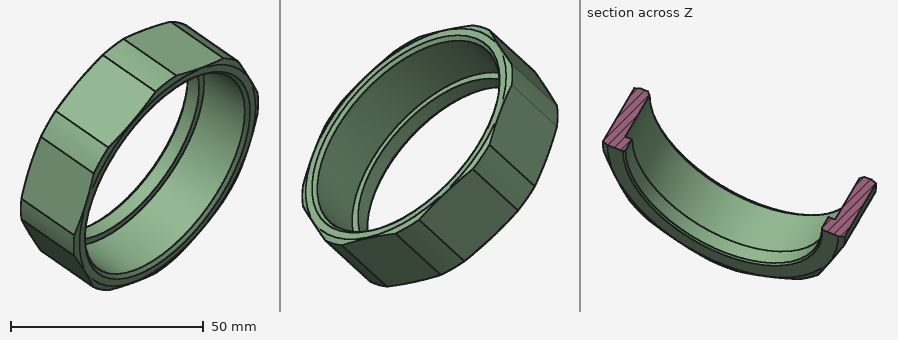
import cadquery as cq
import math

width = 20.0
corner_diameter = 69.7
across_flats = 66.95
flat_count = 8
face_diameter = 66.5
outer_chamfer_length = 0.55
lip_diameter = 56.5
lip_end = 4.5
bore_diameter = 60.35
lip_chamfer = 0.5
bore_chamfer = 1.0

left = -width / 2
right = width / 2


def revolve_profile(points):
    """Revolve an (x, radius) profile around the X axis."""
    return cq.Workplane("XY").polyline(points).close().revolve(360, (0, 0, 0), (1, 0, 0))


def octagon_prism():
    """Octagon with its corners on the Y and Z axes."""
    corner_to_corner = across_flats / math.cos(math.pi / flat_count)
    return cq.Workplane("YZ").polygon(flat_count, corner_to_corner).extrude(width / 2, both=True)


def chamfered_disc():
    """Round envelope that rounds the corners and chamfers both end faces."""
    face_radius = face_diameter / 2
    corner_radius = corner_diameter / 2
    return revolve_profile([
        (left, 0),
        (left, face_radius),
        (left + outer_chamfer_length, corner_radius),
        (right - outer_chamfer_length, corner_radius),
        (right, face_radius),
        (right, 0),
    ])


def stepped_bore():
    """Lip at -X, then the wider bore out to +X, chamfered at both mouths."""
    lip_radius = lip_diameter / 2
    bore_radius = bore_diameter / 2
    return revolve_profile([
        (left, 0),
        (left, lip_radius + lip_chamfer),
        (left + lip_chamfer, lip_radius),
        (left + lip_end, lip_radius),
        (left + lip_end, bore_radius),
        (right - bore_chamfer, bore_radius),
        (right, bore_radius + bore_chamfer),
        (right, 0),
    ])


result = octagon_prism().intersect(chamfered_disc()).cut(stepped_bore())